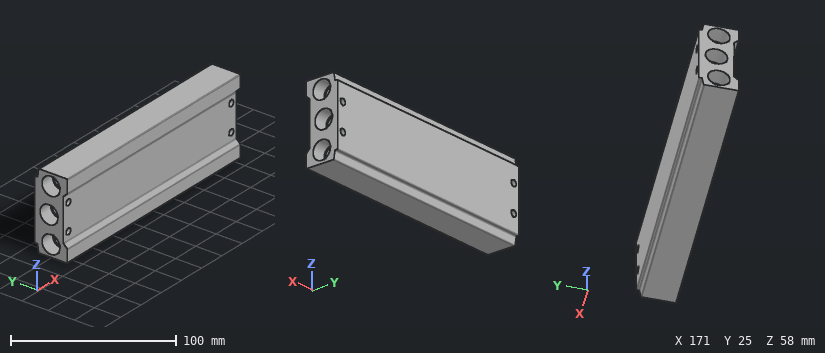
import cadquery as cq

LENGTH = 171.0
DEPTH = 25.0
HEIGHT = 58.0

GROOVE_DEPTH = 3.0
GROOVE_FLOOR_HEIGHT = 32.0
GROOVE_MOUTH_HEIGHT = GROOVE_FLOOR_HEIGHT + 2 * GROOVE_DEPTH

PAD_HEIGHT = 46.0
SHOULDER_INNER_DROP = 2.0
SHOULDER_OUTER_DROP = 3.0

EDGE_RADIUS = 0.5

BORE_PITCH = 20.0
BORE_DIAMETER = 11.0
PORT_MOUTH_DIAMETER = 13.7
PORT_DEPTH = 10.0
PORT_TAPER = 1 / 16
PORT_FLOOR_DIAMETER = PORT_MOUTH_DIAMETER - PORT_TAPER * PORT_DEPTH
OUTER_BORE_Y = 0.0
MIDDLE_BORE_Y = 1.5
BORE_CENTRES = [
    (OUTER_BORE_Y, -BORE_PITCH),
    (MIDDLE_BORE_Y, 0.0),
    (OUTER_BORE_Y, BORE_PITCH),
]

MOUNT_DIAMETER = 4.5
MOUNT_END_INSET = 5.0
MOUNT_PITCH_X = LENGTH - 2 * MOUNT_END_INSET
MOUNT_PITCH_Z = 20.0


def make_bar():
    """Extrude the Y-Z cross-section along X and round its lengthwise edges."""
    front = -DEPTH / 2
    back = DEPTH / 2
    top = HEIGHT / 2
    upper_half = [
        (front + GROOVE_DEPTH, GROOVE_FLOOR_HEIGHT / 2),
        (front, GROOVE_MOUTH_HEIGHT / 2),
        (front, top),
        (back - SHOULDER_OUTER_DROP, top),
        (back - SHOULDER_INNER_DROP, PAD_HEIGHT / 2),
        (back, PAD_HEIGHT / 2),
    ]
    lower_half = [(y, -z) for y, z in reversed(upper_half)]
    profile = cq.Workplane("YZ").polyline(upper_half + lower_half).close()
    bar = profile.extrude(LENGTH / 2, both=True)
    return bar.edges("|X").fillet(EDGE_RADIUS)


def make_bore_cutter(y, z):
    """Revolve one bore, with its two tapered ports, about its own axis along X."""
    end = LENGTH / 2
    port_floor = end - PORT_DEPTH
    half_outline = [
        (-end, PORT_MOUTH_DIAMETER / 2),
        (-port_floor, PORT_FLOOR_DIAMETER / 2),
        (-port_floor, BORE_DIAMETER / 2),
        (port_floor, BORE_DIAMETER / 2),
        (port_floor, PORT_FLOOR_DIAMETER / 2),
        (end, PORT_MOUTH_DIAMETER / 2),
    ]
    section = cq.Workplane("XZ").polyline([(-end, 0), *half_outline, (end, 0)]).close()
    return section.revolve(360, (0, 0), (1, 0)).translate((0, y, z))


def cut_bores(body):
    """Cut all the lengthwise bores."""
    for y, z in BORE_CENTRES:
        body = body.cut(make_bore_cutter(y, z))
    return body


def cut_mounting_holes(body):
    """Drill the rectangular pattern of mounting holes along Y."""
    holes = (
        cq.Workplane("XZ")
        .rarray(MOUNT_PITCH_X, MOUNT_PITCH_Z, 2, 2)
        .circle(MOUNT_DIAMETER / 2)
        .extrude(DEPTH / 2, both=True)
    )
    return body.cut(holes)


result = cut_mounting_holes(cut_bores(make_bar()))